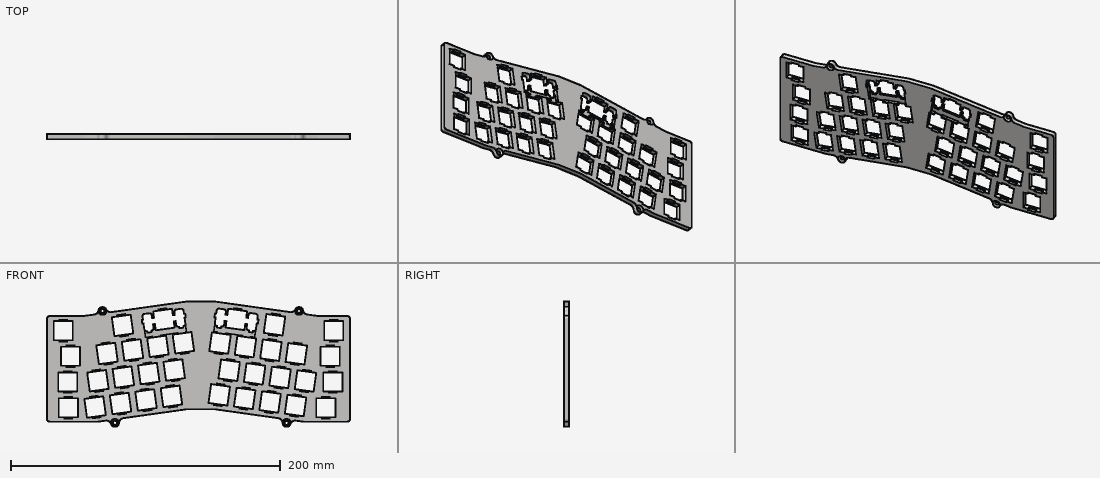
import cadquery as cq
import math

plate_length = 224.8
plate_height = 93.0
plate_thickness = 4.0
recess_depth = 2.5
corner_radius = 2.2

split_x = 1.69
slope_angle = 8.0
crown_half_width = 10.1
crown_top_z = 46.5
crown_bottom_z = -33.5
top_shoulder_offset = 86.5
bottom_shoulder_offset = 76.0

ear_diameter = 6.0
ear_radius = ear_diameter / 2
ear_fillet = 3.5
ear_search_margin = 0.2
screw_hole_diameter = 3.0
countersink_diameter = 5.8
upper_ear_z = 39.3
lower_ear_z = crown_top_z - plate_height + ear_radius
ear_places = [(72.8, upper_ear_z), (63.6, lower_ear_z)]

ten_key_span = 190.5
key_pitch = ten_key_span / 10
key_size = 14.0
clip_width = 6.0
clip_reach = 1.1

left_home_u, left_home_v = -18.5, -1.8
right_home_u, right_home_v = 23.2, -1.3
keys_per_row = 4
block_rows = [(1, 0.5), (0, 0.0)]
left_bottom_row = (-1, -0.25)
right_bottom_row = (-1, 0.25)
top_row = 2
left_top_key_shift = 1.75
right_top_key_shift = 1.5
left_stabilized_width = 2.25
right_stabilized_width = 2.0

column_home_z = -13.3
column_home_index = 2
left_column_x = [-100.3, -94.9, -97.0, -96.5]
right_column_x = [100.3, 97.5, 99.5, 94.5]

pod_inner_x = 8.5
pod_outer_x = 15.3
pod_top = 6.0
pod_bottom = -6.7
pod_corner_radius = 1.5
channel_half_height = 2.2
stem_notch_width = 3.0
stem_notch_bottom = -7.9
wire_notch_x = 16.2
wire_notch_bottom = -0.7
wire_notch_top = 2.0
stabilizer_recess_bottom = -11.2

front_y = -plate_thickness / 2
slope = math.tan(math.radians(slope_angle))


def box(x_min, x_max, z_min, z_max, depth=plate_thickness):
    """Block reaching the given depth behind the open face."""
    return (
        cq.Workplane("XY")
        .box(x_max - x_min, depth, z_max - z_min, centered=False)
        .translate((x_min, front_y, z_min))
    )


def place(cutter, x, z, tilt=0.0):
    """Turn a cutter anticlockwise as seen from -Y, then move it to (x, z)."""
    return cutter.rotate((0, 0, 0), (0, 1, 0), -tilt).translate((x, 0, z))


def on_both_sides(offset):
    return [split_x - offset, split_x + offset]


def block_to_plate(u, v, tilt):
    angle = math.radians(tilt)
    x = u * math.cos(angle) - v * math.sin(angle)
    z = u * math.sin(angle) + v * math.cos(angle)
    return x, z


def plate_body():
    end_x = plate_length / 2
    top_left, top_right = on_both_sides(top_shoulder_offset)
    bottom_left, bottom_right = on_both_sides(bottom_shoulder_offset)
    crown_left, crown_right = on_both_sides(crown_half_width)
    end_top_z = crown_top_z - slope * (top_shoulder_offset - crown_half_width)
    end_bottom_z = crown_bottom_z - slope * (bottom_shoulder_offset - crown_half_width)
    body = (
        cq.Workplane("XZ", origin=(0, plate_thickness / 2, 0))
        .polyline([
            (-end_x, end_bottom_z),
            (-end_x, end_top_z),
            (top_left, end_top_z),
            (crown_left, crown_top_z),
            (crown_right, crown_top_z),
            (top_right, end_top_z),
            (end_x, end_top_z),
            (end_x, end_bottom_z),
            (bottom_right, end_bottom_z),
            (crown_right, crown_bottom_z),
            (crown_left, crown_bottom_z),
            (bottom_left, end_bottom_z),
        ])
        .close()
        .extrude(plate_thickness)
    )
    return body.edges("|Y and (<X or >X)").fillet(corner_radius)


def ear_centres():
    return [(x, z) for offset, z in ear_places for x in on_both_sides(offset)]


def add_ears(body):
    """Add round ears and blend each into the edge with concave fillets."""
    for x, z in ear_centres():
        ear = (
            cq.Workplane("XZ", origin=(x, plate_thickness / 2, z))
            .circle(ear_radius)
            .extrude(plate_thickness)
        )
        body = body.union(ear)
        reach = ear_radius + ear_search_margin
        near_ear = cq.selectors.BoxSelector(
            (x - reach, -plate_thickness, z - reach), (x + reach, plate_thickness, z + reach)
        )
        body = body.edges("|Y").edges(near_ear).fillet(ear_fillet)
    return body


def screw_cutter():
    """Screw hole whose 90 degree countersink opens on the recessed face."""
    hole_radius = screw_hole_diameter / 2
    sink_radius = countersink_diameter / 2
    sink_depth = sink_radius - hole_radius
    return (
        cq.Workplane("XY")
        .polyline([
            (0, front_y),
            (sink_radius, front_y),
            (hole_radius, front_y + sink_depth),
            (hole_radius, -front_y),
            (0, -front_y),
        ])
        .close()
        .revolve(360, (0, 0, 0), (0, 1, 0))
    )


def key_cutter():
    """Square through opening with a shallow clip notch above and below."""
    half = key_size / 2
    notch_end = half + clip_reach
    opening = box(-half, half, -half, half)
    notches = box(-clip_width / 2, clip_width / 2, -notch_end, notch_end, recess_depth)
    return opening.union(notches)


def stabilizer_cutter():
    """Key opening joined to a stabilizer pod on each side, with the recess below them."""
    pod = (
        box(pod_inner_x, pod_outer_x, pod_bottom, pod_top)
        .edges("|Y")
        .fillet(pod_corner_radius)
    )
    pod_middle = (pod_inner_x + pod_outer_x) / 2
    stem_half = stem_notch_width / 2
    pod = pod.union(box(pod_middle - stem_half, pod_middle + stem_half, stem_notch_bottom, 0))
    pod = pod.union(box(pod_middle, wire_notch_x, wire_notch_bottom, wire_notch_top))
    channel = box(-pod_middle, pod_middle, -channel_half_height, channel_half_height)
    recess = box(-pod_outer_x, pod_outer_x, stabilizer_recess_bottom, 0, recess_depth)
    return key_cutter().union(pod).union(pod.mirror("YZ")).union(channel).union(recess)


def block_cutters(side, home_u, home_v, bottom_row, top_shift, stabilized_width):
    """Openings of one tilted block; side is -1 for left and +1 for right."""
    tilt = -side * slope_angle
    cutters = []
    for row, shift in block_rows + [bottom_row]:
        v = home_v + row * key_pitch
        for column in range(keys_per_row):
            u = home_u + side * (column - shift) * key_pitch
            cutters.append(place(key_cutter(), *block_to_plate(u, v, tilt), tilt))

    top_v = home_v + top_row * key_pitch
    top_u = home_u + side * top_shift * key_pitch
    cutters.append(place(key_cutter(), *block_to_plate(top_u, top_v, tilt), tilt))
    wide_u = top_u - side * (1 + stabilized_width) / 2 * key_pitch
    cutters.append(place(stabilizer_cutter(), *block_to_plate(wide_u, top_v, tilt), tilt))
    return cutters


def column_cutters(column_x):
    return [
        place(key_cutter(), x, column_home_z + (column_home_index - row) * key_pitch)
        for row, x in enumerate(column_x)
    ]


cutters = [place(screw_cutter(), x, z) for x, z in ear_centres()]
cutters += column_cutters(left_column_x) + column_cutters(right_column_x)
cutters += block_cutters(
    -1, left_home_u, left_home_v, left_bottom_row, left_top_key_shift, left_stabilized_width
)
cutters += block_cutters(
    1, right_home_u, right_home_v, right_bottom_row, right_top_key_shift, right_stabilized_width
)

result = add_ears(plate_body())
for cutter in cutters:
    result = result.cut(cutter)